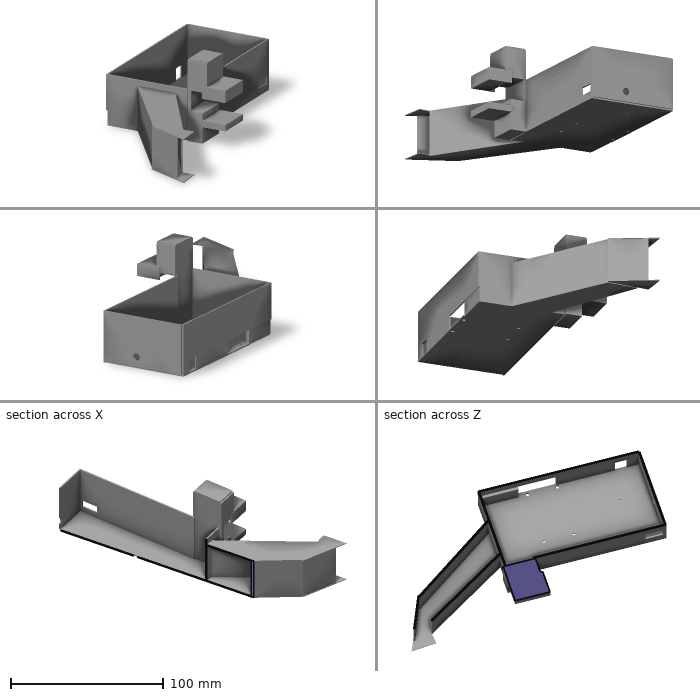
import cadquery as cq
import math

TILT = -5
WALL = 1.0

OVERALL_LENGTH = 193.9

BOX_WIDTH = 61.3
BOX_LENGTH = 111.0
BOX_HEIGHT = 35.7
FRONT_END = 60.7
WALL_END = 19.8

LONG_OPENING_END = 53.5
LONG_OPENING_TOP = 10.5
SQUARE_OPENING_START = 94.0
SQUARE_OPENING_LENGTH = 8.1
SQUARE_OPENING_TOP = 9.9
SIDE_SLOT_START = 96.7
SIDE_SLOT_LENGTH = 12.0
SIDE_SLOT_BOTTOM = 5.2
SIDE_SLOT_TOP = 10.5

PANEL_INSET = 0.5
PANEL_INNER = 3.1
PANEL_END = 27.1

FLOOR_HOLES = [
    (2.3, [(2.7, 53.9), (2.7, 33.3)]),
    (2.0, [(41.3, 53.7), (41.3, 33.2)]),
    (1.0, [(3.0, 106.0), (24.0, 90.7)]),
]
RIGHT_WALL_HOLE_DIAMETER = 1.0
RIGHT_WALL_HOLES = [(105.5, 28.1), (58.4, 28.1)]
BACK_HOLE_DIAMETER = 5.0
BACK_HOLE_X = 35.7
BACK_HOLE_Z = 8.0

ARM_HEIGHT = 31.0
ARM_ROOT_LEFT = 23.7
ARM_ROOT_RIGHT = 52.0
ARM_END_LEFT = 62.2
ARM_END_RIGHT = 84.1
ARM_END_Y = -66.0

HEAD_PLATE = 0.5
HEAD_LEFT = 61.8
HEAD_LEFT_Y = -67.3
HEAD_RIGHT = 92.0
END_WALL_LENGTH = 26.4
END_WALL_INSET = 0.4

TOWER_GAP = 0.2
TOWER_WIDTH = 14.5
TOWER_LEFT = BOX_WIDTH + TOWER_GAP
TOWER_FRONT = -1.2
TOWER_BACK = 21.3
TOWER_HEIGHT = 57.0
TOWER_POST = 2.7
LEDGE_RIGHT = 72.7
LEDGE_TOP = 21.0

SHELF_RIGHT = 90.0
SHELF_FRONT = -1.4
SHELF_BACK = 22.9
UPPER_SHELF_BOTTOM = 31.5
UPPER_SHELF_TOP = 40.0
LOWER_SHELF_BOTTOM = 11.6
LOWER_SHELF_TOP = 16.0


def block(x0, x1, y0, y1, z0, z1):
    """Axis-aligned block between two opposite corners."""
    return cq.Workplane("XY").box(x1 - x0, y1 - y0, z1 - z0, centered=False).translate((x0, y0, z0))


def prism(points, z0, z1):
    """Upright prism over a polygon."""
    return cq.Workplane("XY").workplane(offset=z0).polyline(points).close().extrude(z1 - z0)


def tilted(shape):
    """Turn a shape from the tilted frame to the part's axes."""
    return shape.rotate((0, 0, 0), (0, 0, 1), TILT)


def tilted_point(x, y):
    """Turn a point from the tilted frame to the part's axes."""
    angle = math.radians(TILT)
    return (x * math.cos(angle) - y * math.sin(angle), x * math.sin(angle) + y * math.cos(angle))


def box_walls():
    """Floor and four walls; the back wall hangs behind the floor and leaves the left corner open."""
    back_inner = BOX_LENGTH - WALL
    right_inner = BOX_WIDTH - WALL
    floor = block(0, FRONT_END, 0, back_inner, 0, WALL)
    left = block(0, WALL, 0, back_inner, 0, BOX_HEIGHT)
    front = block(0, FRONT_END, 0, WALL, 0, BOX_HEIGHT)
    right = block(right_inner, BOX_WIDTH, WALL_END, BOX_LENGTH, 0, BOX_HEIGHT)
    back = block(WALL, BOX_WIDTH, back_inner, BOX_LENGTH, WALL, BOX_HEIGHT)
    return floor.union(left).union(front).union(right).union(back)


def wall_openings():
    """Rectangular openings in the left and right walls."""
    long_opening = block(0, WALL, WALL, LONG_OPENING_END, WALL, LONG_OPENING_TOP)
    corner = block(0, WALL, 0, PANEL_END, 0, LONG_OPENING_TOP)
    square_end = SQUARE_OPENING_START + SQUARE_OPENING_LENGTH
    square = block(0, WALL, SQUARE_OPENING_START, square_end, WALL, SQUARE_OPENING_TOP)
    slot_end = SIDE_SLOT_START + SIDE_SLOT_LENGTH
    slot = block(BOX_WIDTH - WALL, BOX_WIDTH, SIDE_SLOT_START, slot_end, SIDE_SLOT_BOTTOM, SIDE_SLOT_TOP)
    return long_opening.union(corner).union(square).union(slot)


def round_holes():
    """Drillings through the floor, the right wall and the back wall."""
    holes = cq.Workplane("YZ", origin=(BOX_WIDTH - WALL, 0, 0)).pushPoints(RIGHT_WALL_HOLES)
    holes = holes.circle(RIGHT_WALL_HOLE_DIAMETER / 2).extrude(WALL)
    back = cq.Workplane("XZ", origin=(BACK_HOLE_X, BOX_LENGTH, BACK_HOLE_Z))
    holes = holes.union(back.circle(BACK_HOLE_DIAMETER / 2).extrude(WALL))
    for diameter, centres in FLOOR_HOLES:
        holes = holes.union(cq.Workplane("XY").pushPoints(centres).circle(diameter / 2).extrude(WALL))
    return holes


def box():
    panel = block(PANEL_INSET, PANEL_INNER, WALL, PANEL_END, 0, LONG_OPENING_TOP)
    return box_walls().cut(wall_openings()).cut(round_holes()).union(panel)


def arm_tube():
    """Rectangular tube from the box's front wall to the head, open at the head."""
    root_left = tilted_point(ARM_ROOT_LEFT, 0)
    root_right = tilted_point(ARM_ROOT_RIGHT, 0)
    end_left = (ARM_END_LEFT, ARM_END_Y)
    end_right = (ARM_END_RIGHT, ARM_END_Y)
    left_shift = WALL * math.dist(root_left, end_left) / (root_left[1] - ARM_END_Y)
    right_shift = WALL * math.dist(root_right, end_right) / (root_right[1] - ARM_END_Y)
    inner = [
        (root_left[0] + left_shift, root_left[1]),
        (root_right[0] - right_shift, root_right[1]),
        (ARM_END_RIGHT - right_shift, ARM_END_Y),
        (ARM_END_LEFT + left_shift, ARM_END_Y),
    ]
    tube = prism([root_left, root_right, end_right, end_left], 0, ARM_HEIGHT)
    return tube.cut(prism(inner, WALL, ARM_HEIGHT - WALL))


def arm_head():
    """Top and bottom plates joined by a wall along their slanted edge; the right side is open."""
    run = HEAD_RIGHT - HEAD_LEFT
    tip_y = tilted_point(WALL, BOX_LENGTH)[1] - OVERALL_LENGTH
    drop = HEAD_LEFT_Y - tip_y
    slant = math.degrees(math.atan2(drop, run))
    bottom = WALL - HEAD_PLATE
    outline = [
        (HEAD_LEFT, HEAD_LEFT_Y),
        (HEAD_RIGHT, tip_y),
        (HEAD_RIGHT, ARM_END_Y),
        (ARM_END_LEFT, ARM_END_Y),
    ]
    inner_face = END_WALL_INSET + WALL
    end_wall = block(0, END_WALL_LENGTH, END_WALL_INSET, inner_face, bottom, ARM_HEIGHT)
    end_wall = end_wall.rotate((0, 0, 0), (0, 0, 1), -slant).translate((HEAD_LEFT, HEAD_LEFT_Y, 0))
    head = prism(outline, bottom, WALL)
    head = head.union(prism(outline, ARM_HEIGHT - HEAD_PLATE, ARM_HEIGHT))
    return head.union(end_wall)


def housing():
    """Open box with the arm and its head."""
    return tilted(box()).union(arm_tube()).union(arm_head())


def tower_body():
    """Block with lower front and back skirts, and a passage along y above a ledge."""
    right = TOWER_LEFT + TOWER_WIDTH
    core_front = TOWER_FRONT + WALL
    core_back = TOWER_BACK - WALL
    body = block(TOWER_LEFT, right, TOWER_FRONT, TOWER_BACK, 0, TOWER_HEIGHT - WALL)
    crown = block(TOWER_LEFT, right, core_front, core_back, 0, TOWER_HEIGHT)
    passage = block(TOWER_LEFT + WALL, right, core_front, TOWER_BACK, LEDGE_TOP, BOX_HEIGHT)
    doorway = block(TOWER_LEFT + TOWER_POST, right, TOWER_FRONT, core_front, LEDGE_TOP, BOX_HEIGHT)
    undercut = block(LEDGE_RIGHT, right, TOWER_FRONT, TOWER_BACK, 0, LEDGE_TOP)
    return body.union(crown).cut(passage).cut(doorway).cut(undercut)


def upper_shelf():
    """Shelf beside the tower whose front and back skirts reach over the tower's sides."""
    slab = (UPPER_SHELF_BOTTOM, UPPER_SHELF_TOP)
    shelf = block(TOWER_LEFT + TOWER_WIDTH, SHELF_RIGHT, SHELF_FRONT, SHELF_BACK, *slab)
    front_skirt = block(LEDGE_RIGHT, SHELF_RIGHT, SHELF_FRONT, TOWER_FRONT + WALL, *slab)
    back_skirt = block(LEDGE_RIGHT, SHELF_RIGHT, SHELF_BACK - WALL, SHELF_BACK, *slab)
    return shelf.union(front_skirt).union(back_skirt)


def lower_shelf():
    return block(LEDGE_RIGHT, SHELF_RIGHT, SHELF_FRONT, SHELF_BACK, LOWER_SHELF_BOTTOM, LOWER_SHELF_TOP)


def tower():
    return tilted(tower_body().union(upper_shelf()).union(lower_shelf()))


result = cq.Compound.makeCompound([housing().val(), tower().val()])